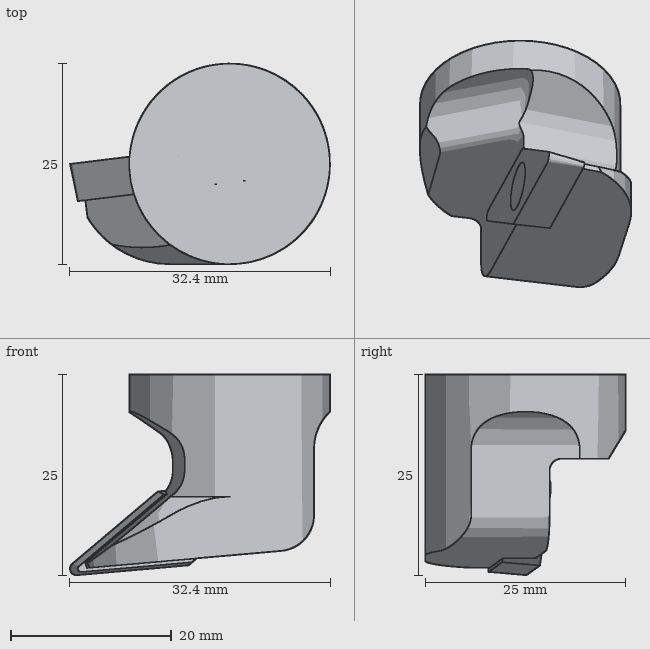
import cadquery as cq
import math

SEAT_TURN = 7.0
CLEARANCE_ANGLE = 5.0
FAR = 29.15

SHANK_DIAMETER = 25.0
SHANK_RADIUS = SHANK_DIAMETER / 2
OVERALL_HEIGHT = 25.0

BASE_SLOPE = math.tan(math.radians(CLEARANCE_ANGLE))
BASE_Z = -22.55
BACK_X = 10.52
HEEL_RADIUS = 4.53
BACK_RELIEF_RADIUS = 6.35
BACK_RELIEF_Z = -9.23

NOSE_STRAIGHT = 7.4
NOSE_RADIUS = 11.98
NOSE_TOP_Z = -15.22
NOSE_CONE_ANGLE = 49.0

THROAT_U = -6.93
THROAT_RADIUS = 4.0
THROAT_WALL_TOP_Z = -10.5
THROAT_WALL_BOTTOM_Z = -11.98
THROAT_CEILING_ANGLE = 34.5
FLANK_TOP_Z = -15.12
FLANK_ANGLE = 40.0
NOSE_FLAT_U = -18.4
NOSE_UNDERCUT_ANGLE = 20.0

CHIP_WALL_DEPTH = -1.7
CHIP_HOLLOW_TURN = 27.0
CHIP_HOLLOW_RADIUS = 4.15
CHIP_HOLLOW_WALL = -7.32
CHIP_WALL_TOP_Z = -8.68
SHELF_Z = -10.5
SHELF_ROUND = CHIP_WALL_TOP_Z - SHELF_Z
CHIP_CORNER_RADIUS = 1.45
SHELF_BEVEL_ANGLE = 31.0
SHELF_BEVEL_Y = 10.35

INSERT_ANGLE = FLANK_ANGLE - CLEARANCE_ANGLE
INSERT_EDGE = 16.6
INSERT_THICKNESS = 4.73
INSERT_NOSE_RADIUS = 0.8
INSERT_TIP_X = -19.88
INSERT_HOLE_DIAMETER = 4.4
COUNTERSINK_DIAMETER = 6.05
COUNTERSINK_DEPTH = 1.42

TURN = math.radians(SEAT_TURN)
INSERT_FACE_DEPTH = INSERT_TIP_X * math.sin(TURN)


def seat_plane(depth):
    """Upright plane of the turned frame: local x is u, local y is Z."""
    u_dir = (math.cos(TURN), math.sin(TURN), 0)
    normal = (math.sin(TURN), -math.cos(TURN), 0)
    origin = (depth * normal[0], depth * normal[1], 0)
    return cq.Workplane(cq.Plane(origin=origin, xDir=u_dir, normal=normal))


def step(point, angle, distance):
    """Point reached from another by a distance at an angle in degrees."""
    turn = math.radians(angle)
    return (point[0] + distance * math.cos(turn), point[1] + distance * math.sin(turn))


BISECTOR_ANGLE = CLEARANCE_ANGLE + INSERT_ANGLE / 2
HALF_ANGLE = math.radians(INSERT_ANGLE / 2)
NOSE_CENTER = (
    INSERT_TIP_X * math.cos(TURN) + INSERT_NOSE_RADIUS,
    -OVERALL_HEIGHT + INSERT_NOSE_RADIUS,
)
INSERT_TIP = step(NOSE_CENTER, BISECTOR_ANGLE, -INSERT_NOSE_RADIUS / math.sin(HALF_ANGLE))
INSERT_CENTER = step(INSERT_TIP, BISECTOR_ANGLE, INSERT_EDGE * math.cos(HALF_ANGLE))


def make_insert_blank():
    """Insert without its hole."""
    heel_nose_center = step(INSERT_CENTER, BISECTOR_ANGLE, math.dist(INSERT_CENTER, NOSE_CENTER))
    return (
        seat_plane(INSERT_FACE_DEPTH)
        .moveTo(*step(NOSE_CENTER, CLEARANCE_ANGLE - 90, INSERT_NOSE_RADIUS))
        .lineTo(*step(INSERT_TIP, CLEARANCE_ANGLE, INSERT_EDGE))
        .lineTo(*step(heel_nose_center, FLANK_ANGLE - 90, INSERT_NOSE_RADIUS))
        .threePointArc(
            step(heel_nose_center, BISECTOR_ANGLE, INSERT_NOSE_RADIUS),
            step(heel_nose_center, CLEARANCE_ANGLE + 90, INSERT_NOSE_RADIUS),
        )
        .lineTo(*step(INSERT_TIP, FLANK_ANGLE, INSERT_EDGE))
        .lineTo(*step(NOSE_CENTER, FLANK_ANGLE + 90, INSERT_NOSE_RADIUS))
        .threePointArc(
            step(NOSE_CENTER, BISECTOR_ANGLE + 180, INSERT_NOSE_RADIUS),
            step(NOSE_CENTER, CLEARANCE_ANGLE - 90, INSERT_NOSE_RADIUS),
        )
        .close()
        .extrude(INSERT_THICKNESS, taper=CLEARANCE_ANGLE)
    )


def make_stud():
    """Countersunk stud that fills the insert's hole, flush with its face."""
    stem = (
        seat_plane(INSERT_FACE_DEPTH)
        .center(*INSERT_CENTER)
        .circle(INSERT_HOLE_DIAMETER / 2)
        .extrude(INSERT_THICKNESS)
    )
    rim_width = (COUNTERSINK_DIAMETER - INSERT_HOLE_DIAMETER) / 2
    head = (
        seat_plane(INSERT_FACE_DEPTH)
        .center(*INSERT_CENTER)
        .circle(COUNTERSINK_DIAMETER / 2)
        .extrude(COUNTERSINK_DEPTH, taper=math.degrees(math.atan(rim_width / COUNTERSINK_DEPTH)))
    )
    return stem.union(head)


def make_nose_block():
    """Bulge of the shank outline towards -X, topped by a cone."""
    arc_center_y = NOSE_RADIUS - SHANK_RADIUS
    arc_middle = step((-NOSE_STRAIGHT, arc_center_y), 225, NOSE_RADIUS)
    outline = (
        cq.Workplane("XY").workplane(offset=-FAR)
        .moveTo(0, -SHANK_RADIUS)
        .lineTo(-NOSE_STRAIGHT, -SHANK_RADIUS)
        .threePointArc(arc_middle, (-NOSE_STRAIGHT - NOSE_RADIUS, arc_center_y))
        .lineTo(-NOSE_STRAIGHT - NOSE_RADIUS, SHANK_RADIUS / 2)
        .lineTo(0, SHANK_RADIUS / 2)
        .close()
        .extrude(FAR + NOSE_TOP_Z)
    )
    height = FAR + NOSE_TOP_Z
    spread = height / math.tan(math.radians(NOSE_CONE_ANGLE))
    cone = cq.Solid.makeCone(
        SHANK_RADIUS + spread, SHANK_RADIUS, height, pnt=cq.Vector(0, 0, -FAR)
    )
    return outline.intersect(cq.Workplane(cone))


def make_head_limits():
    """Side silhouette: back relief, flat back, rounded heel, sloping base."""
    center_x = BACK_X + BACK_RELIEF_RADIUS
    top_x = SHANK_RADIUS + 0.32
    top_z = BACK_RELIEF_Z + math.sqrt(BACK_RELIEF_RADIUS**2 - (center_x - top_x) ** 2)
    arc_middle = step((center_x, BACK_RELIEF_Z), 160, BACK_RELIEF_RADIUS)
    profile = (
        cq.Workplane("XZ")
        .moveTo(-FAR, 0)
        .lineTo(top_x, 0)
        .lineTo(top_x, top_z)
        .threePointArc(arc_middle, (BACK_X, BACK_RELIEF_Z))
        .lineTo(BACK_X, BASE_Z + BACK_X * BASE_SLOPE)
        .lineTo(-FAR, BASE_Z - FAR * BASE_SLOPE)
        .close()
        .extrude(FAR, both=True)
    )
    heel = cq.selectors.NearestToPointSelector((BACK_X, 0, BASE_Z + BACK_X * BASE_SLOPE))
    return profile.edges(heel).fillet(HEEL_RADIUS)


def make_throat():
    """Hollow above the insert, continued down the flank of the nose."""
    center_u = THROAT_U - THROAT_RADIUS
    upper_center = (center_u, THROAT_WALL_TOP_Z)
    lower_center = (center_u, THROAT_WALL_BOTTOM_Z)
    ceiling_end = step(upper_center, 90 - THROAT_CEILING_ANGLE, THROAT_RADIUS)
    upper_middle = step(upper_center, (90 - THROAT_CEILING_ANGLE) / 2, THROAT_RADIUS)
    arc_drop = THROAT_WALL_BOTTOM_Z - FLANK_TOP_Z
    lower_angle = -math.degrees(math.asin(arc_drop / THROAT_RADIUS))
    flank_top = step(lower_center, lower_angle, THROAT_RADIUS)
    lower_middle = step(lower_center, lower_angle / 2, THROAT_RADIUS)
    nose_drop = (flank_top[0] - NOSE_FLAT_U) * math.tan(math.radians(FLANK_ANGLE))
    nose_z = FLANK_TOP_Z - nose_drop
    undercut = (nose_z + FAR) * math.tan(math.radians(NOSE_UNDERCUT_ANGLE))
    ceiling_rise = (ceiling_end[0] + FAR) * math.tan(math.radians(THROAT_CEILING_ANGLE))
    return (
        seat_plane(-FAR)
        .moveTo(-FAR, ceiling_end[1] + ceiling_rise)
        .lineTo(*ceiling_end)
        .threePointArc(upper_middle, (THROAT_U, THROAT_WALL_TOP_Z))
        .lineTo(THROAT_U, THROAT_WALL_BOTTOM_Z)
        .threePointArc(lower_middle, flank_top)
        .lineTo(NOSE_FLAT_U, nose_z)
        .lineTo(NOSE_FLAT_U + undercut, -FAR)
        .lineTo(-FAR, -FAR)
        .close()
        .extrude(2 * FAR)
    )


def make_chip_space():
    """Space in front of the insert, hollowed upward on its -X side."""
    hollow_center = (CHIP_HOLLOW_WALL - CHIP_HOLLOW_RADIUS, CHIP_WALL_TOP_Z)
    hollow_top_z = CHIP_WALL_TOP_Z + CHIP_HOLLOW_RADIUS
    round_center = (CHIP_HOLLOW_WALL + SHELF_ROUND, CHIP_WALL_TOP_Z)
    hollow_middle = step(hollow_center, 45, CHIP_HOLLOW_RADIUS)
    turn = math.radians(CHIP_HOLLOW_TURN)
    across = (math.cos(turn), -math.sin(turn), 0)
    along = (-math.sin(turn), -math.cos(turn), 0)
    hollow = (
        cq.Workplane(cq.Plane(origin=(0, 0, 0), xDir=across, normal=along))
        .moveTo(-FAR, hollow_top_z)
        .lineTo(hollow_center[0], hollow_top_z)
        .threePointArc(hollow_middle, (CHIP_HOLLOW_WALL, CHIP_WALL_TOP_Z))
        .threePointArc(step(round_center, 225, SHELF_ROUND), (round_center[0], SHELF_Z))
        .lineTo(FAR, SHELF_Z)
        .lineTo(FAR, -FAR)
        .lineTo(-FAR, -FAR)
        .close()
        .extrude(FAR, both=True)
    )
    front_side = seat_plane(CHIP_WALL_DEPTH).rect(2 * FAR, 2 * FAR).extrude(-FAR)
    space = hollow.intersect(front_side)
    wall = cq.selectors.DirectionMinMaxSelector(cq.Vector(math.sin(TURN), -math.cos(TURN), 0))
    return space.faces(wall).edges().fillet(CHIP_CORNER_RADIUS)


def make_shelf_bevel():
    rise = (FAR - SHELF_BEVEL_Y) / math.tan(math.radians(SHELF_BEVEL_ANGLE))
    return (
        cq.Workplane("YZ")
        .polyline([(SHELF_BEVEL_Y, SHELF_Z), (FAR, SHELF_Z + rise), (FAR, SHELF_Z)])
        .close()
        .extrude(FAR, both=True)
    )


def make_holder():
    shank = cq.Workplane("XY").circle(SHANK_RADIUS).extrude(-FAR)
    holder = shank.union(make_nose_block()).intersect(make_head_limits())
    for cutter in (make_throat(), make_chip_space(), make_shelf_bevel()):
        holder = holder.cut(cutter)
    return holder.cut(make_insert_blank()).union(make_stud())


holder = make_holder()
insert = make_insert_blank().cut(make_stud())
result = cq.Compound.makeCompound([holder.val(), insert.val()])